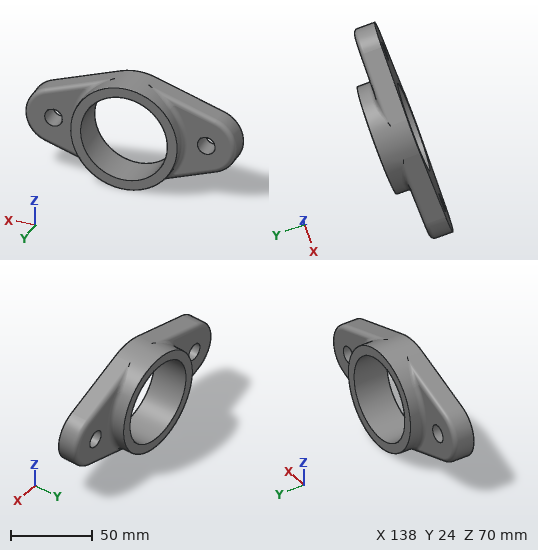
import cadquery as cq
import math

bolt_offset = 50.0
lobe_radius = 19.0
bolt_hole_diameter = 11.5
plate_thickness = 14.0
rim_round = 3.0

sleeve_radius = 35.0
sleeve_length = 24.0
bore_diameter = 56.7
end_round_radius = 3.0
end_round_length = 1.0
root_fillet = 3.0

tolerance = 1e-4

tangent_sin = (sleeve_radius - lobe_radius) / bolt_offset
tangent_cos = math.sqrt(1 - tangent_sin**2)
sleeve_tangent_x = sleeve_radius * tangent_sin
sleeve_tangent_z = sleeve_radius * tangent_cos
lobe_tangent_x = bolt_offset + lobe_radius * tangent_sin
lobe_tangent_z = lobe_radius * tangent_cos
flange_end_x = bolt_offset + lobe_radius


def y_cylinder(x, radius, length):
    """Cylinder along +Y that starts on the front face at the given X."""
    axis_start = cq.Vector(x, 0, 0)
    return cq.Workplane(cq.Solid.makeCylinder(radius, length, axis_start, cq.Vector(0, 1, 0)))


def is_outer_edge(edge):
    """True unless the edge is one of the two middle edges hidden inside the sleeve."""
    return abs(edge.Center().x) > tolerance


def make_plate():
    """Flange plate with two round lobes, its rear rim rounded.

    The middle of the outline is closed straight across, inside the sleeve.
    """
    plate = (
        cq.Workplane("XZ")
        .moveTo(sleeve_tangent_x, sleeve_tangent_z)
        .lineTo(lobe_tangent_x, lobe_tangent_z)
        .threePointArc((flange_end_x, 0), (lobe_tangent_x, -lobe_tangent_z))
        .lineTo(sleeve_tangent_x, -sleeve_tangent_z)
        .lineTo(-sleeve_tangent_x, -sleeve_tangent_z)
        .lineTo(-lobe_tangent_x, -lobe_tangent_z)
        .threePointArc((-flange_end_x, 0), (-lobe_tangent_x, lobe_tangent_z))
        .lineTo(-sleeve_tangent_x, sleeve_tangent_z)
        .close()
        .extrude(-plate_thickness)
    )
    rear_rim = plate.faces(">Y").edges().filter(is_outer_edge)
    return rear_rim.fillet(rim_round)


def make_sleeve():
    """Solid sleeve whose outer surface curves slightly inward at its free end."""
    straight_length = sleeve_length - end_round_length
    end_round_inset = end_round_radius - math.sqrt(end_round_radius**2 - end_round_length**2)
    end_radius = sleeve_radius - end_round_inset
    profile = (
        cq.Workplane("ZY")
        .lineTo(sleeve_radius, 0)
        .lineTo(sleeve_radius, straight_length)
        .tangentArcPoint((end_radius, sleeve_length), relative=False)
        .lineTo(0, sleeve_length)
        .close()
    )
    return profile.revolve(360, (0, 0, 0), (0, 1, 0))


def is_root_edge(edge):
    """True for the sleeve circle arcs where the sleeve meets the rear of the plate."""
    if edge.geomType() != "CIRCLE":
        return False
    box = edge.BoundingBox()
    lies_on_plate = abs(box.ymin - plate_thickness) + abs(box.ymax - plate_thickness) < tolerance
    return lies_on_plate and abs(edge.radius() - sleeve_radius) < tolerance


def fillet_root(body):
    """Concave fillet between the sleeve and the rear face of the plate."""
    root_edges = [edge for edge in body.edges().vals() if is_root_edge(edge)]
    return body.newObject(root_edges).fillet(root_fillet)


body = fillet_root(make_plate().union(make_sleeve()))
bore = y_cylinder(0, bore_diameter / 2, sleeve_length)
result = body.cut(bore)
for side in (-1, 1):
    bolt_hole = y_cylinder(side * bolt_offset, bolt_hole_diameter / 2, plate_thickness)
    result = result.cut(bolt_hole)